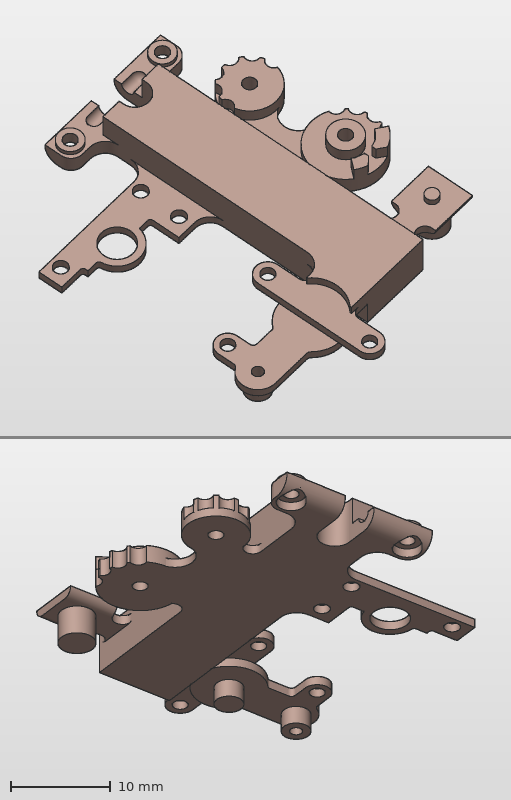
import cadquery as cq
import math

LAYER = 1.0
LUG_TOP = 2 * LAYER
LINK_BOTTOM = 3 * LAYER
LINK_TOP = 4 * LAYER
BAR_TOP = 5 * LAYER
LUG_BOSS_TOP = 2.5 * LAYER
GEAR_POST_TOP = 3.5 * LAYER

SCREW_HOLE_D = 1.6
BOSS_D = 3.0
BIG_FILLET = 2.0
SMALL_FILLET = 1.0
TINY_FILLET = 0.5

BAR_LEFT = 3.65
BAR_RIGHT = 38.2
BAR_HALF_WIDTH = 4.35
NOTCH_HALF_WIDTH = 1.8
NOTCH_DEPTH = 6.0

LUG_HALF_SPAN = 9.03
LUG_CORNER_R = 1.5
LUG_EDGE_R = 1.7
LUG_RECESS_DEPTH = LAYER
LUG_HOLE_X = 1.8
LUG_HOLE_Y = 7.2
GROOVE_STRAIGHT_END = 3.47

BRACKET_LEFT = 9.35
BRACKET_RIGHT = 17.3
BRACKET_BOTTOM = -21.15
BRACKET_SHOULDER_Y = -8.8
BRACKET_WAIST_RIGHT = 13.55
BRACKET_STEP_Y = -17.9
BRACKET_FOOT_RIGHT = 12.33
BRACKET_HOLE_D = 1.7
BRACKET_HOLES = [(10.65, -6.75), (15.62, -6.75), (10.65, -19.25)]
RING_X = 13.0
RING_Y = -13.32
RING_OUTER_D = 5.8
RING_HOLE_D = 4.1
BRACKET_CORNER_R = 0.35

LEFT_GEAR_X = 11.02
LEFT_GEAR_Y = 9.75
LEFT_GEAR_R = 3.47
LEFT_GEAR_TEETH = 10
LEFT_GEAR_TOP = LUG_BOSS_TOP
RIGHT_GEAR_X = 23.05
RIGHT_GEAR_Y = 10.37
RIGHT_GEAR_R = 4.45
RIGHT_GEAR_TEETH = 14
RIGHT_GEAR_TOP = 2 * LAYER
TOOTH_GAP_R = 0.9
TOOTH_GAP_DEPTH = 0.6
HUB_D = 4.0
VALLEY_X = 16.5
VALLEY_Y = 10.85
VALLEY_R = 2.13
LEFT_RELIEF_X = 10.8
RIGHT_RELIEF_X = 24.5
POST_INNER_R = 3.0
POST_START_ANGLE = -39.5
POST_END_ANGLE = 54.5
POST_GAP_HALF_WIDTH = 0.55
POST_GAP_FLARE_START = 3.47
POST_GAP_FLARE_SLOPE = 1.3

TAB_X = 35.2
TAB_Y = 9.35
TAB_SIDE = 5.77
TAB_BOTTOM = 3.2
TAB_TOP = 4.25
TAB_EDGE_R = 1.0
TAB_POST_D = 3.8
TAB_PIN_D = 1.6
NECK_WIDTH = 2.65

ARM_LEFT = 32.35
DISC_X = 35.2
DISC_Y = -9.55
DISC_R = 3.9
LINK_Y = -8.38
LINK_WIDTH = 3.1
LINK_HOLE_XS = (28.55, 41.86)
LINK_END_R = LINK_WIDTH / 2
CRANK_END_Y = -17.9
CRANK_END_R = 2.3
CRANK_HOLE_D = 1.3
EAR_X = 30.73
EAR_Y = -17.25
EAR_R = 1.48


def block(left, right, low, high, bottom, top):
    """Axis-aligned box given by its six limits."""
    size = (right - left, high - low, top - bottom)
    return cq.Workplane("XY").box(*size, centered=False).translate((left, low, bottom))


def disc(x, y, diameter, bottom, top):
    """Upright cylinder."""
    return cq.Workplane("XY", origin=(x, y, bottom)).circle(diameter / 2).extrude(top - bottom)


def corner_web(x, y, side_x, side_y, radius, bottom, top):
    """Concave fillet filling the corner at (x, y), on the sides given by the two signs."""
    far_x = x + side_x * radius
    far_y = y + side_y * radius
    square = block(min(x, far_x), max(x, far_x), min(y, far_y), max(y, far_y), bottom, top)
    return square.cut(disc(far_x, far_y, 2 * radius, bottom, top))


def round_corners(body, corners, radius):
    """Fillet the upright edges nearest to the given (x, y) corners of a plate."""
    z = body.val().Center().z
    for x, y in corners:
        body = body.edges("|Z").edges(cq.NearestToPointSelector((x, y, z))).fillet(radius)
    return body


def make_bar():
    bar = block(BAR_LEFT, BAR_RIGHT, -BAR_HALF_WIDTH, BAR_HALF_WIDTH, 0, BAR_TOP)
    arm_end = LINK_Y + LINK_WIDTH / 2
    arm = block(ARM_LEFT, BAR_RIGHT, arm_end, -BAR_HALF_WIDTH, LINK_BOTTOM, BAR_TOP)
    arm = arm.union(corner_web(ARM_LEFT, -BAR_HALF_WIDTH, -1, -1, BIG_FILLET, LINK_BOTTOM, BAR_TOP))
    arm = arm.cut(disc(DISC_X, DISC_Y, 2 * DISC_R, LINK_TOP, BAR_TOP))
    arm = arm.union(corner_web(ARM_LEFT, arm_end, -1, 1, SMALL_FILLET, LINK_BOTTOM, LINK_TOP))
    arm = arm.union(corner_web(BAR_RIGHT, arm_end, 1, 1, SMALL_FILLET, LINK_BOTTOM, LINK_TOP))
    return bar.union(arm)


def make_lugs():
    lugs = block(0, BAR_LEFT, -LUG_HALF_SPAN, LUG_HALF_SPAN, 0, LUG_TOP)
    lugs = lugs.edges("|Z and >X").fillet(LUG_CORNER_R)
    lugs = lugs.edges("<X and <Z").fillet(LUG_EDGE_R)
    groove_r = SCREW_HOLE_D / 2
    groove_bottom = cq.Workplane("XZ", origin=(LUG_HOLE_X, GROOVE_STRAIGHT_END, LUG_TOP))
    lugs = lugs.cut(groove_bottom.circle(groove_r).extrude(2 * GROOVE_STRAIGHT_END))
    for side in (1, -1):
        groove_end = cq.Workplane("XY").sphere(groove_r)
        lugs = lugs.cut(groove_end.translate((LUG_HOLE_X, side * GROOVE_STRAIGHT_END, LUG_TOP)))
        lugs = lugs.union(disc(LUG_HOLE_X, side * LUG_HOLE_Y, BOSS_D, LUG_TOP, LUG_BOSS_TOP))
        lugs = lugs.cut(disc(LUG_HOLE_X, side * LUG_HOLE_Y, BOSS_D, 0, LUG_RECESS_DEPTH))
        lugs = lugs.cut(disc(LUG_HOLE_X, side * LUG_HOLE_Y, SCREW_HOLE_D, 0, LUG_BOSS_TOP))
        lugs = lugs.union(corner_web(BAR_LEFT, side * BAR_HALF_WIDTH, 1, side, BIG_FILLET, 0, LUG_TOP))
    return lugs


def make_notch():
    """Round-ended slot through the bar and between the lugs."""
    end_x = NOTCH_DEPTH - NOTCH_HALF_WIDTH
    slot = block(0, end_x, -NOTCH_HALF_WIDTH, NOTCH_HALF_WIDTH, 0, BAR_TOP)
    return slot.union(disc(end_x, 0, 2 * NOTCH_HALF_WIDTH, 0, BAR_TOP))


def make_bracket():
    outline = [
        (BRACKET_LEFT, -BAR_HALF_WIDTH),
        (BRACKET_RIGHT, -BAR_HALF_WIDTH),
        (BRACKET_RIGHT, BRACKET_SHOULDER_Y),
        (BRACKET_WAIST_RIGHT, BRACKET_SHOULDER_Y),
        (BRACKET_WAIST_RIGHT, RING_Y),
        (RING_X, RING_Y),
        (RING_X, BRACKET_STEP_Y),
        (BRACKET_FOOT_RIGHT, BRACKET_STEP_Y),
        (BRACKET_FOOT_RIGHT, BRACKET_BOTTOM),
        (BRACKET_LEFT, BRACKET_BOTTOM),
    ]
    bracket = cq.Workplane("XY").polyline(outline).close().extrude(LAYER)
    bracket = bracket.union(disc(RING_X, RING_Y, RING_OUTER_D, 0, LAYER))
    inner_corners = [
        (BRACKET_WAIST_RIGHT, BRACKET_SHOULDER_Y),
        (RING_X, RING_Y - RING_OUTER_D / 2),
        (BRACKET_FOOT_RIGHT, BRACKET_STEP_Y),
    ]
    bracket = round_corners(bracket, inner_corners, BRACKET_CORNER_R)
    bracket = bracket.cut(disc(RING_X, RING_Y, RING_HOLE_D, 0, LAYER))
    for x, y in BRACKET_HOLES:
        bracket = bracket.cut(disc(x, y, BRACKET_HOLE_D, 0, LAYER))
    for x, side in ((BRACKET_LEFT, -1), (BRACKET_RIGHT, 1)):
        bracket = bracket.union(corner_web(x, -BAR_HALF_WIDTH, side, -1, BIG_FILLET, 0, LAYER))
    return bracket


def toothed_disc(x, y, radius, bottom, top, teeth, first_gap, gap_count):
    """Disc with round tooth gaps around part of its rim, counted from an angle in degrees."""
    gear = disc(x, y, 2 * radius, bottom, top)
    gap_centre_r = radius - TOOTH_GAP_DEPTH + TOOTH_GAP_R
    for i in range(gap_count):
        angle = math.radians(first_gap + i * 360 / teeth)
        gap_x = x + gap_centre_r * math.cos(angle)
        gap_y = y + gap_centre_r * math.sin(angle)
        gear = gear.cut(disc(gap_x, gap_y, 2 * TOOTH_GAP_R, bottom, top))
    return gear


def make_gear_plate():
    """Web joining both gears to the bar, hollowed by round reliefs that run into the gear rims."""
    relief_y = BAR_HALF_WIDTH + SMALL_FILLET
    outline = [
        (LEFT_RELIEF_X, BAR_HALF_WIDTH),
        (LEFT_RELIEF_X, relief_y),
        (LEFT_GEAR_X, LEFT_GEAR_Y),
        (VALLEY_X, VALLEY_Y),
        (RIGHT_GEAR_X, RIGHT_GEAR_Y),
        (RIGHT_RELIEF_X, relief_y),
        (RIGHT_RELIEF_X, BAR_HALF_WIDTH),
    ]
    plate = cq.Workplane("XY").polyline(outline).close().extrude(LAYER)
    plate = plate.cut(disc(VALLEY_X, VALLEY_Y, 2 * VALLEY_R, 0, LAYER))
    for x in (LEFT_RELIEF_X, RIGHT_RELIEF_X):
        plate = plate.cut(disc(x, relief_y, 2 * SMALL_FILLET, 0, LAYER))
    return plate


def make_left_gear():
    gear = disc(LEFT_GEAR_X, LEFT_GEAR_Y, 2 * LEFT_GEAR_R, 0, LAYER)
    teeth = toothed_disc(
        LEFT_GEAR_X, LEFT_GEAR_Y, LEFT_GEAR_R, LAYER, LEFT_GEAR_TOP, LEFT_GEAR_TEETH, first_gap=90, gap_count=6
    )
    return gear.union(teeth)


def make_posts():
    """Two curved posts on the right gear, parted by a flared gap that faces +X."""
    start = math.radians(POST_START_ANGLE)
    end = math.radians(POST_END_ANGLE)
    middle = (start + end) / 2

    def at(radius, angle):
        return radius * math.cos(angle), radius * math.sin(angle)

    base = cq.Workplane("XY", origin=(RIGHT_GEAR_X, RIGHT_GEAR_Y, RIGHT_GEAR_TOP))
    height = GEAR_POST_TOP - RIGHT_GEAR_TOP
    posts = (
        base.moveTo(*at(POST_INNER_R, start))
        .lineTo(*at(RIGHT_GEAR_R, start))
        .threePointArc(at(RIGHT_GEAR_R, middle), at(RIGHT_GEAR_R, end))
        .lineTo(*at(POST_INNER_R, end))
        .threePointArc(at(POST_INNER_R, middle), at(POST_INNER_R, start))
        .close()
        .extrude(height)
    )
    flare_half_width = POST_GAP_HALF_WIDTH + POST_GAP_FLARE_SLOPE * (RIGHT_GEAR_R - POST_GAP_FLARE_START)
    gap_outline = [
        (0, -POST_GAP_HALF_WIDTH),
        (POST_GAP_FLARE_START, -POST_GAP_HALF_WIDTH),
        (RIGHT_GEAR_R, -flare_half_width),
        (RIGHT_GEAR_R, flare_half_width),
        (POST_GAP_FLARE_START, POST_GAP_HALF_WIDTH),
        (0, POST_GAP_HALF_WIDTH),
    ]
    return posts.cut(base.polyline(gap_outline).close().extrude(height))


def make_right_gear():
    pitch = 360 / RIGHT_GEAR_TEETH
    gear = toothed_disc(
        RIGHT_GEAR_X, RIGHT_GEAR_Y, RIGHT_GEAR_R, 0, RIGHT_GEAR_TOP, RIGHT_GEAR_TEETH, 90 - pitch, gap_count=4
    )
    gear = gear.union(disc(RIGHT_GEAR_X, RIGHT_GEAR_Y, HUB_D, RIGHT_GEAR_TOP, GEAR_POST_TOP))
    return gear.union(make_posts())


def make_tab():
    half = TAB_SIDE / 2
    tab = block(TAB_X - half, TAB_X + half, BAR_HALF_WIDTH, TAB_Y + half, TAB_BOTTOM, TAB_TOP)
    tab = tab.edges("|Y and <Z").fillet(TAB_EDGE_R)
    neck_relief_r = (TAB_Y - half - BAR_HALF_WIDTH) / 2
    for side in (-1, 1):
        relief_x = TAB_X + side * (NECK_WIDTH / 2 + neck_relief_r)
        relief_y = BAR_HALF_WIDTH + neck_relief_r
        edge_x = TAB_X + side * half
        slot = disc(relief_x, relief_y, 2 * neck_relief_r, TAB_BOTTOM, TAB_TOP)
        opening = block(
            min(relief_x, edge_x), max(relief_x, edge_x), BAR_HALF_WIDTH, TAB_Y - half, TAB_BOTTOM, TAB_TOP
        )
        tab = tab.cut(slot).cut(opening)
    tab = tab.union(disc(TAB_X, TAB_Y, TAB_POST_D, 0, TAB_BOTTOM))
    return tab.union(disc(TAB_X, TAB_Y, TAB_PIN_D, TAB_TOP, BAR_TOP))


def make_link():
    left, right = LINK_HOLE_XS
    link = block(left, right, LINK_Y - LINK_END_R, LINK_Y + LINK_END_R, LINK_BOTTOM, LINK_TOP)
    for x in LINK_HOLE_XS:
        link = link.union(disc(x, LINK_Y, LINK_WIDTH, LINK_BOTTOM, LINK_TOP))
    for x in LINK_HOLE_XS:
        link = link.cut(disc(x, LINK_Y, SCREW_HOLE_D, LINK_BOTTOM, LINK_TOP))
    return link


def make_crank():
    """Plate under the link: a disc, a neck with a round end, and an ear with a screw hole."""
    neck_left = DISC_X - CRANK_END_R
    neck_right = DISC_X + CRANK_END_R
    crank = disc(DISC_X, DISC_Y, 2 * DISC_R, LUG_TOP, LINK_BOTTOM)
    crank = crank.union(block(neck_left, neck_right, CRANK_END_Y, DISC_Y, LUG_TOP, LINK_BOTTOM))
    crank = crank.union(disc(DISC_X, CRANK_END_Y, 2 * CRANK_END_R, LUG_TOP, LINK_BOTTOM))
    crank = crank.union(block(EAR_X, DISC_X, EAR_Y - EAR_R, EAR_Y + EAR_R, LUG_TOP, LINK_BOTTOM))
    crank = crank.union(disc(EAR_X, EAR_Y, 2 * EAR_R, LUG_TOP, LINK_BOTTOM))
    disc_edge_y = DISC_Y - math.sqrt(DISC_R**2 - CRANK_END_R**2)
    ear_low = EAR_Y - EAR_R
    ear_meets_end_x = DISC_X - math.sqrt(CRANK_END_R**2 - (CRANK_END_Y - ear_low) ** 2)
    inner_corners = [
        (neck_left, disc_edge_y),
        (neck_right, disc_edge_y),
        (neck_left, EAR_Y + EAR_R),
        (ear_meets_end_x, ear_low),
    ]
    crank = round_corners(crank, inner_corners, TINY_FILLET)
    crank = crank.cut(disc(EAR_X, EAR_Y, SCREW_HOLE_D, LUG_TOP, LINK_BOTTOM))
    for y in (DISC_Y, CRANK_END_Y):
        crank = crank.union(disc(DISC_X, y, BOSS_D, 0, LUG_TOP))
    return crank.cut(disc(DISC_X, CRANK_END_Y, CRANK_HOLE_D, 0, LINK_BOTTOM))


def make_gear_train():
    """Both gears on their plate, each with a hole through its middle."""
    train = make_gear_plate()
    for x, y, gear in (
        (LEFT_GEAR_X, LEFT_GEAR_Y, make_left_gear()),
        (RIGHT_GEAR_X, RIGHT_GEAR_Y, make_right_gear()),
    ):
        hole = disc(x, y, SCREW_HOLE_D, 0, GEAR_POST_TOP)
        train = train.cut(hole, clean=False).union(gear.cut(hole), clean=False)
    return train


result = make_bar().union(make_lugs()).cut(make_notch())
for feature in (make_bracket(), make_gear_train(), make_tab(), make_link(), make_crank()):
    result = result.union(feature, clean=False)